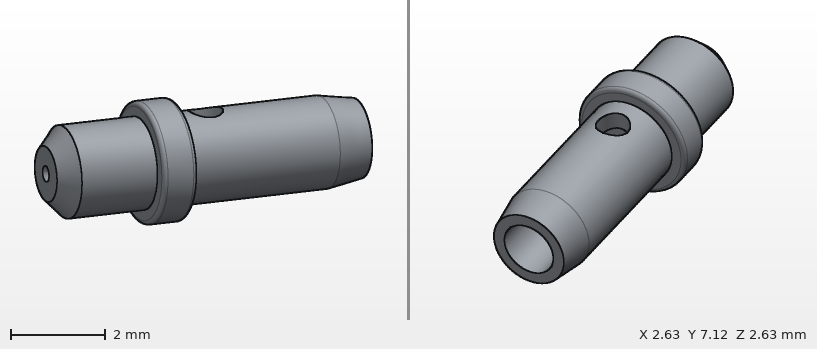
import cadquery as cq
import math

COLLAR_WIDTH = 0.79
COLLAR_DIAMETER = 2.63
COLLAR_FILLET = 0.1
BODY_DIAMETER = 1.99
OVERALL_LENGTH = 7.12
FRONT_LENGTH = 2.13

FRONT_CHAMFER = 0.4
FRONT_CENTRE_DIAMETER = 0.34
FRONT_CENTRE_ANGLE = 60.0

TAPER_LENGTH = 0.8
TAPER_END_DIAMETER = 1.72
BORE_DIAMETER = 1.2
BORE_BEYOND_HOLE = 0.2

HOLE_DIAMETER = 0.73
HOLE_TO_COLLAR = 0.75

COLLAR_FRONT_Y = -COLLAR_WIDTH / 2
COLLAR_REAR_Y = COLLAR_WIDTH / 2
FRONT_Y = COLLAR_FRONT_Y - FRONT_LENGTH
REAR_Y = FRONT_Y + OVERALL_LENGTH
HOLE_Y = COLLAR_REAR_Y + HOLE_TO_COLLAR
BORE_FLOOR_Y = HOLE_Y - HOLE_DIAMETER / 2 - BORE_BEYOND_HOLE


def revolve_about_y(points):
    """Spin a closed (radius, y) outline about the Y axis."""
    return cq.Workplane("XY").polyline(points).close().revolve(360, (0, 0, 0), (0, 1, 0))


def cylinder_along_y(diameter, start_y, end_y):
    """Solid cylinder on the part axis between two Y positions."""
    radius = diameter / 2
    return revolve_about_y([(0, start_y), (radius, start_y), (radius, end_y), (0, end_y)])


def body():
    """Plain pin with the front chamfer and the rear taper."""
    radius = BODY_DIAMETER / 2
    return revolve_about_y([
        (0, FRONT_Y),
        (radius - FRONT_CHAMFER, FRONT_Y),
        (radius, FRONT_Y + FRONT_CHAMFER),
        (radius, REAR_Y - TAPER_LENGTH),
        (TAPER_END_DIAMETER / 2, REAR_Y),
        (0, REAR_Y),
    ])


def collar():
    """Stop collar with both rims rounded."""
    ring = cylinder_along_y(COLLAR_DIAMETER, COLLAR_FRONT_Y, COLLAR_REAR_Y)
    return ring.faces("<Y or >Y").edges().fillet(COLLAR_FILLET)


def front_centre_mark():
    """Conical centre mark in the front face."""
    radius = FRONT_CENTRE_DIAMETER / 2
    depth = radius / math.tan(math.radians(FRONT_CENTRE_ANGLE / 2))
    return revolve_about_y([(0, FRONT_Y), (radius, FRONT_Y), (0, FRONT_Y + depth)])


def inspection_hole():
    """Vertical hole from the part axis up through the top wall."""
    return (
        cq.Workplane("XY")
        .center(0, HOLE_Y)
        .circle(HOLE_DIAMETER / 2)
        .extrude(BODY_DIAMETER)
    )


result = (
    body()
    .union(collar())
    .cut(front_centre_mark())
    .cut(cylinder_along_y(BORE_DIAMETER, BORE_FLOOR_Y, REAR_Y))
    .cut(inspection_hole())
)